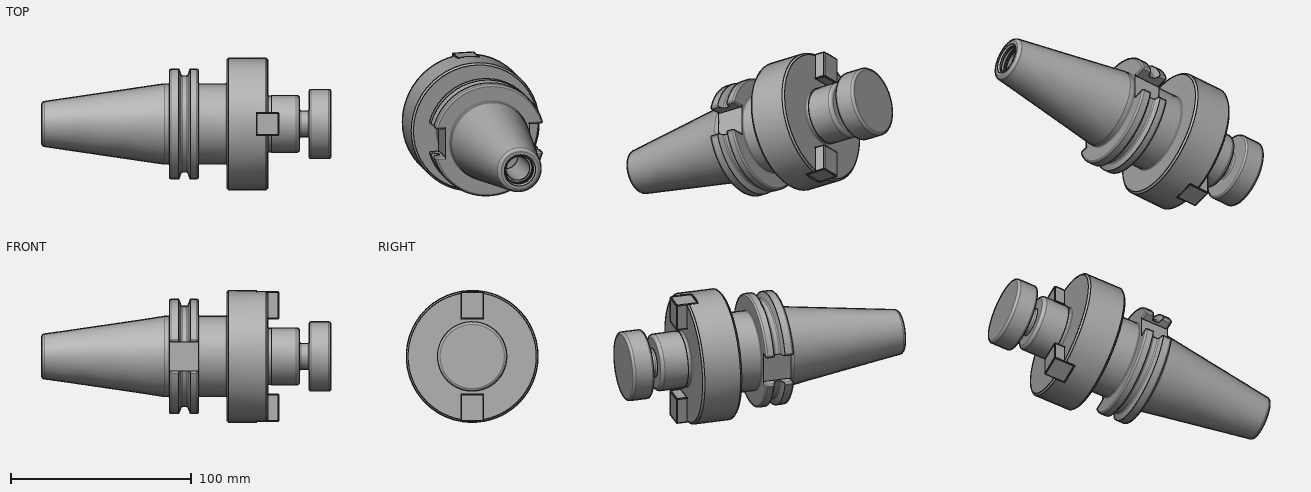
import cadquery as cq
TOTAL_LENGTH = 160.2

GAUGE_DIAMETER = 44.5
GAUGE_X = 68.0
SHANK_END_DIAMETER = 24.5
SHANK_END_FILLET = 2.0
ROOT_FILLET = 0.4

BORE_MOUTH_DIAMETER = 17.8
BORE_THREAD_DIAMETER = 15.9
BORE_THREAD_DEPTH = 4.6
BORE_RELIEF_DIAMETER = 16.8
BORE_RELIEF_START = 2.1
BORE_RELIEF_WIDTH = 1.8
BORE_DIAMETER = 13.5
BORE_DEPTH = 32.0

FLANGE_DIAMETER = 63.5
FLANGE_START_X = 70.8
FLANGE_THICKNESS = 16.0
FLANGE_FILLET = 1.0
GROOVE_CENTRE_X = 79.2
GROOVE_FLOOR_DIAMETER = 55.8
GROOVE_WIDTH = 6.4
GROOVE_FLOOR_WIDTH = 3.5
GROOVE_FILLET = 0.8
SLOT_WIDTH = 16.2
SLOT_FLOOR_FRONT = 22.8
SLOT_FLOOR_BACK = 25.0

COLLAR_DIAMETER = 73.0
COLLAR_START_X = 102.5
COLLAR_THICKNESS = 22.8
COLLAR_CHAMFER = 1.04
PILOT_DIAMETER = 31.7
PILOT_LENGTH = 17.6
PILOT_FILLET = 2.0
RELIEF_DIAMETER = 31.2
RELIEF_LENGTH = 2.1

KEY_WIDTH = 12.7
KEY_LENGTH = 12.5
KEY_END_X = 131.4
KEY_TOP = 35.9
KEY_HEIGHT = 15.0
KEY_CHAMFER = 0.5
KEY_ANGLES = (0, 180)

THREAD_DIAMETER = 16.3
THREAD_DEPTH = 22.5
NECK_DIAMETER = 14.5
NECK_FILLET = 0.8
HEAD_DIAMETER = 38.5
HEAD_THICKNESS = 12.0
HEAD_BACK_FILLET = 1.0
HEAD_FRONT_FILLET = 1.5

TOLERANCE = 0.002

flange_end_x = FLANGE_START_X + FLANGE_THICKNESS
collar_end_x = COLLAR_START_X + COLLAR_THICKNESS
pilot_end_x = collar_end_x + PILOT_LENGTH
head_start_x = TOTAL_LENGTH - HEAD_THICKNESS


def cylinder(diameter, start_x, end_x):
    """A cylinder on the X axis."""
    return cq.Workplane("YZ", origin=(start_x, 0, 0)).circle(diameter / 2).extrude(end_x - start_x)


def revolved(points):
    """A solid of revolution about the X axis from (x, radius) points."""
    return cq.Workplane("XY").polyline(points).close().revolve(360, (0, 0, 0), (1, 0, 0))


def circles_at(body, x, diameter):
    """The circular edges around the X axis that have this diameter and lie in the plane at x."""
    return body.edges("%CIRCLE").filter(
        lambda edge: abs(edge.Center().x - x) < TOLERANCE
        and abs(edge.radius() - diameter / 2) < TOLERANCE
    )


def make_shank():
    """The taper with its rounded small end and the straight neck that runs up to the collar."""
    gauge_radius = GAUGE_DIAMETER / 2
    end_radius = SHANK_END_DIAMETER / 2
    shank = revolved([
        (0, 0),
        (0, end_radius),
        (GAUGE_X, gauge_radius),
        (COLLAR_START_X, gauge_radius),
        (COLLAR_START_X, 0),
    ])
    return shank.faces("<X").edges().fillet(SHANK_END_FILLET)


def make_bore():
    """Cutter for the draw-bolt bore: lead-in chamfer, threaded stretch with a relief, then the smaller bore."""
    mouth_radius = BORE_MOUTH_DIAMETER / 2
    thread_radius = BORE_THREAD_DIAMETER / 2
    relief_radius = BORE_RELIEF_DIAMETER / 2
    relief_end = BORE_RELIEF_START + BORE_RELIEF_WIDTH
    bore_radius = BORE_DIAMETER / 2
    return revolved([
        (0, 0),
        (0, mouth_radius),
        (mouth_radius - thread_radius, thread_radius),
        (BORE_RELIEF_START, thread_radius),
        (BORE_RELIEF_START, relief_radius),
        (relief_end, relief_radius),
        (relief_end, thread_radius),
        (BORE_THREAD_DEPTH, thread_radius),
        (BORE_THREAD_DEPTH, bore_radius),
        (BORE_DEPTH, bore_radius),
        (BORE_DEPTH, 0),
    ])


def make_groove():
    """Cutter for the V groove around the flange."""
    flange_radius = FLANGE_DIAMETER / 2
    floor_radius = GROOVE_FLOOR_DIAMETER / 2
    half_top = GROOVE_WIDTH / 2
    half_floor = GROOVE_FLOOR_WIDTH / 2
    groove = revolved([
        (GROOVE_CENTRE_X - half_top, flange_radius),
        (GROOVE_CENTRE_X - half_floor, floor_radius),
        (GROOVE_CENTRE_X + half_floor, floor_radius),
        (GROOVE_CENTRE_X + half_top, flange_radius),
    ])
    return groove.edges(cq.selectors.RadiusNthSelector(0)).fillet(GROOVE_FILLET)


def make_drive_slot(side, floor):
    """Cutter for one drive slot; side is the sign of Y, floor the distance from the axis."""
    depth = FLANGE_DIAMETER / 2 - floor
    return (
        cq.Workplane("XY")
        .box(FLANGE_THICKNESS, depth, SLOT_WIDTH, centered=(False, True, True))
        .translate((FLANGE_START_X, side * (floor + depth / 2), 0))
    )


def make_flange():
    """The gripper flange: slotted at both sides, rims and slot wall edges rounded, then grooved."""
    flange = cylinder(FLANGE_DIAMETER, FLANGE_START_X, flange_end_x)
    for side, floor in ((-1, SLOT_FLOOR_FRONT), (1, SLOT_FLOOR_BACK)):
        flange = flange.cut(make_drive_slot(side, floor))
    floor_edges = flange.faces("|Y").edges().vals()
    lobe_edges = flange.edges().filter(lambda edge: edge not in floor_edges)
    return lobe_edges.fillet(FLANGE_FILLET).cut(make_groove())


def make_key_blank():
    """The upper key's full block, also the shape of its seat in the collar."""
    return (
        cq.Workplane("XY")
        .box(KEY_LENGTH, KEY_WIDTH, KEY_HEIGHT)
        .translate((KEY_END_X - KEY_LENGTH / 2, 0, KEY_TOP - KEY_HEIGHT / 2))
    )


def make_seat():
    """The chamfered collar and the pilot with a shallow relief at its root."""
    collar = cylinder(COLLAR_DIAMETER, COLLAR_START_X, collar_end_x).edges().chamfer(COLLAR_CHAMFER)
    relief = cylinder(RELIEF_DIAMETER, collar_end_x, collar_end_x + RELIEF_LENGTH)
    pilot = cylinder(PILOT_DIAMETER, collar_end_x + RELIEF_LENGTH, pilot_end_x)
    pilot = pilot.faces(">X").edges().fillet(PILOT_FILLET)
    return collar.union(relief).union(pilot)


def around_axis(body, angle):
    return body.rotate((0, 0, 0), (1, 0, 0), angle)


def round_roots(holder):
    """Fillet the inner corners of the shank with the flange and collar, and of the pilot's relief."""
    for x, diameter in (
        (FLANGE_START_X, GAUGE_DIAMETER),
        (flange_end_x, GAUGE_DIAMETER),
        (COLLAR_START_X, GAUGE_DIAMETER),
        (collar_end_x, RELIEF_DIAMETER),
    ):
        holder = circles_at(holder, x, diameter).fillet(ROOT_FILLET)
    return holder


def make_holder():
    holder = make_shank().union(make_flange()).union(make_seat())
    holder = round_roots(holder)
    holder = holder.cut(make_bore())
    holder = holder.cut(cylinder(THREAD_DIAMETER, pilot_end_x - THREAD_DEPTH, pilot_end_x))
    for angle in KEY_ANGLES:
        seat = make_key_blank()
        seat = seat.union(seat.translate((0, 0, KEY_HEIGHT / 2)))
        holder = holder.cut(around_axis(seat, angle))
    return holder


def make_key(angle):
    return around_axis(make_key_blank().edges().chamfer(KEY_CHAMFER), angle)


def make_screw():
    """The threaded end, the neck rounded into both its shoulders, and the round head."""
    thread = cylinder(THREAD_DIAMETER, pilot_end_x - THREAD_DEPTH, pilot_end_x)
    neck = cylinder(NECK_DIAMETER, pilot_end_x, head_start_x)
    head = cylinder(HEAD_DIAMETER, head_start_x, TOTAL_LENGTH)
    screw = thread.union(neck).union(head)
    for x, diameter, radius in (
        (pilot_end_x, NECK_DIAMETER, NECK_FILLET),
        (head_start_x, NECK_DIAMETER, NECK_FILLET),
        (head_start_x, HEAD_DIAMETER, HEAD_BACK_FILLET),
        (TOTAL_LENGTH, HEAD_DIAMETER, HEAD_FRONT_FILLET),
    ):
        screw = circles_at(screw, x, diameter).fillet(radius)
    return screw


holder = make_holder()
keys = [make_key(angle) for angle in KEY_ANGLES]
screw = make_screw()

result = cq.Compound.makeCompound([holder.val(), *[key.val() for key in keys], screw.val()])